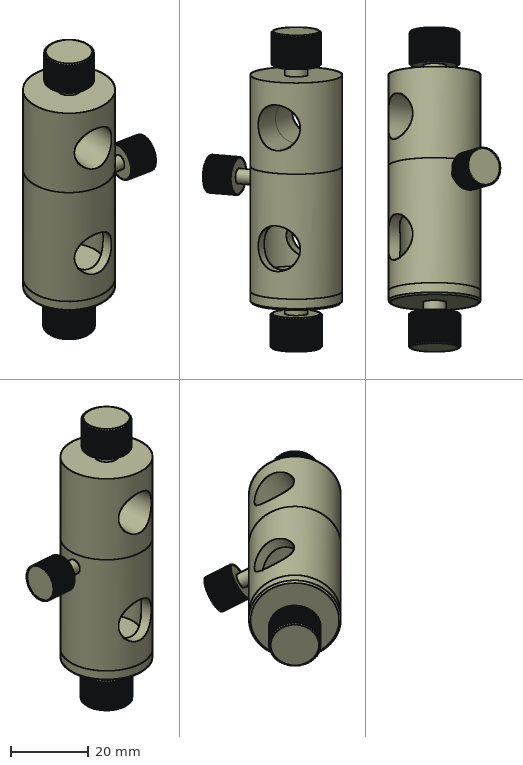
import cadquery as cq
import math


HOUSING_DIAMETER = 24.0
HOUSING_RADIUS = HOUSING_DIAMETER / 2
CAP_HEIGHT = 3.0
CAP_CHAMFER = 0.5
LOWER_HEIGHT = 33.0
UPPER_HEIGHT = 24.05
JOINT_Z = CAP_HEIGHT + LOWER_HEIGHT
TOP_Z = JOINT_Z + UPPER_HEIGHT

ROD_RADIUS = 6.0
UPPER_ROD_Z = JOINT_Z + UPPER_HEIGHT / 2
LOWER_ROD_Z = JOINT_Z - 19.9

BORE_RADIUS = 9.0
PISTON_DROP = 8.2
PISTON_TOP_Z = LOWER_ROD_Z - PISTON_DROP
BORE_TOP_Z = LOWER_ROD_Z + PISTON_DROP

KNURL_COUNT = 54
KNURL_DEPTH = 0.25
KNURL_LAND_SHARE = 1 / 3
END_KNOB_HEIGHT = 9.0
END_KNOB_CHAMFER = 0.5
TOP_KNOB_RADIUS = 6.5
BOTTOM_KNOB_RADIUS = 6.8
SIDE_KNOB_RADIUS = 5.0
SIDE_KNOB_HEIGHT = 8.0
SIDE_KNOB_CHAMFER = 0.25

END_SHANK_RADIUS = 3.0
TOP_SHANK_GAP = 2.5
TOP_SHANK_REACH = UPPER_HEIGHT / 2 - ROD_RADIUS
BOTTOM_SHANK_GAP = 2.9
BOTTOM_SHANK_REACH = CAP_HEIGHT
SIDE_SHANK_RADIUS = 2.0
SIDE_SHANK_GAP = 4.5
SIDE_SHANK_REACH = HOUSING_RADIUS - BORE_RADIUS
SIDE_SCREW_Z = JOINT_Z - 3.9


def vertical_cylinder(radius, bottom_z, top_z):
    """Cylinder on the Z axis between two heights."""
    return cq.Workplane("XY").workplane(offset=bottom_z).circle(radius).extrude(top_z - bottom_z)


def rod_hole(axis_z):
    """Cutter along X, longer than the housing is wide."""
    return cq.Workplane("YZ").center(0, axis_z).circle(ROD_RADIUS).extrude(HOUSING_DIAMETER, both=True)


def side_shank_hole():
    """Cutter for the blind side screw hole, running out past the +Y side."""
    return (
        cq.Workplane("XZ", origin=(0, HOUSING_RADIUS - SIDE_SHANK_REACH, SIDE_SCREW_Z))
        .circle(SIDE_SHANK_RADIUS)
        .extrude(-HOUSING_RADIUS)
    )


def knurl_outline(radius):
    """Points of a round outline with V-grooves separated by narrow lands."""
    pitch = 2 * math.pi / KNURL_COUNT
    half_land = pitch * KNURL_LAND_SHARE / 2
    points = []
    for tooth in range(KNURL_COUNT):
        middle = tooth * pitch
        for angle, distance in (
            (middle - half_land, radius),
            (middle + half_land, radius),
            (middle + pitch / 2, radius - KNURL_DEPTH),
        ):
            points.append((distance * math.cos(angle), distance * math.sin(angle)))
    return points


def make_screw(knob_radius, knob_height, shank_radius, shank_length, inner_chamfer, outer_chamfer):
    """Thumb screw on the Z axis: knob above Z = 0 and shank below it."""
    knob = cq.Workplane("XY").polyline(knurl_outline(knob_radius)).close().extrude(knob_height)
    envelope = vertical_cylinder(knob_radius, 0, knob_height).faces("<Z").chamfer(inner_chamfer)
    if outer_chamfer > 0:
        envelope = envelope.faces(">Z").chamfer(outer_chamfer)
    return knob.intersect(envelope).union(vertical_cylinder(shank_radius, -shank_length, 0))


def make_upper_housing():
    """Cylinder with a rod hole and a tapped hole from the top into it."""
    body = vertical_cylinder(HOUSING_RADIUS, JOINT_Z, TOP_Z)
    return body.cut(rod_hole(UPPER_ROD_Z)).cut(vertical_cylinder(END_SHANK_RADIUS, UPPER_ROD_Z, TOP_Z))


def make_lower_housing():
    """Cylinder with a rod hole, a piston bore open at the bottom and a side screw hole."""
    body = vertical_cylinder(HOUSING_RADIUS, CAP_HEIGHT, JOINT_Z)
    bore = vertical_cylinder(BORE_RADIUS, CAP_HEIGHT, BORE_TOP_Z)
    return body.cut(rod_hole(LOWER_ROD_Z)).cut(bore).cut(side_shank_hole())


def make_piston():
    """Disc resting on the base cap, with its flat face below the lower rod hole."""
    return vertical_cylinder(BORE_RADIUS, CAP_HEIGHT, PISTON_TOP_Z)


def make_base_cap():
    """Chamfered disc that closes the bore, with a through hole for the bottom screw."""
    disc = vertical_cylinder(HOUSING_RADIUS, 0, CAP_HEIGHT).faces("<Z").chamfer(CAP_CHAMFER)
    return disc.cut(vertical_cylinder(END_SHANK_RADIUS, 0, CAP_HEIGHT))


def make_top_screw():
    """Thumb screw that enters the upper housing from above."""
    screw = make_screw(
        TOP_KNOB_RADIUS, END_KNOB_HEIGHT, END_SHANK_RADIUS,
        TOP_SHANK_GAP + TOP_SHANK_REACH, END_KNOB_CHAMFER, END_KNOB_CHAMFER,
    )
    return screw.translate((0, 0, TOP_Z + TOP_SHANK_GAP))


def make_bottom_screw():
    """Thumb screw that passes up through the base cap to the piston."""
    screw = make_screw(
        BOTTOM_KNOB_RADIUS, END_KNOB_HEIGHT, END_SHANK_RADIUS,
        BOTTOM_SHANK_GAP + BOTTOM_SHANK_REACH, END_KNOB_CHAMFER, END_KNOB_CHAMFER,
    )
    return screw.rotate((0, 0, 0), (1, 0, 0), 180).translate((0, 0, -BOTTOM_SHANK_GAP))


def make_side_screw():
    """Smaller thumb screw that enters the lower housing from +Y."""
    screw = make_screw(
        SIDE_KNOB_RADIUS, SIDE_KNOB_HEIGHT, SIDE_SHANK_RADIUS,
        SIDE_SHANK_GAP + SIDE_SHANK_REACH, SIDE_KNOB_CHAMFER, 0,
    )
    knob_base_y = HOUSING_RADIUS + SIDE_SHANK_GAP
    return screw.rotate((0, 0, 0), (1, 0, 0), -90).translate((0, knob_base_y, SIDE_SCREW_Z))


upper_housing = make_upper_housing()
lower_housing = make_lower_housing()
piston = make_piston()
base_cap = make_base_cap()
top_screw = make_top_screw()
bottom_screw = make_bottom_screw()
side_screw = make_side_screw()

result = cq.Compound.makeCompound([
    upper_housing.val(),
    lower_housing.val(),
    piston.val(),
    base_cap.val(),
    top_screw.val(),
    bottom_screw.val(),
    side_screw.val(),
])